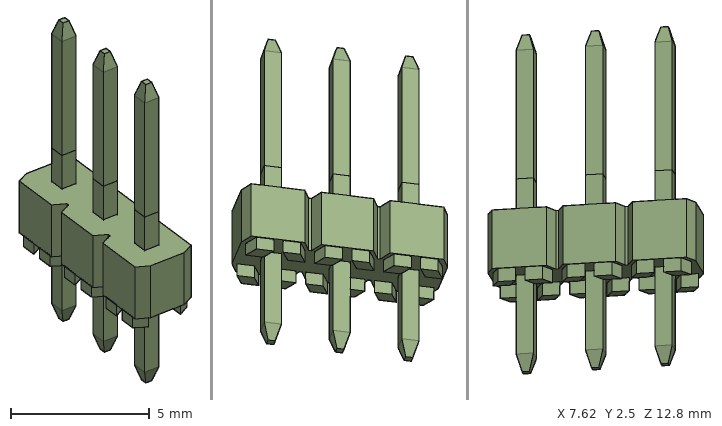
import cadquery as cq

pin_count = 3
housing_length = 7.62
pitch = housing_length / pin_count

housing_width = 2.5
housing_bottom = 3.61
housing_height = 2.22
bevel_x = 0.25
bevel_y = 0.5
notch_floor = 0.1

foot_height = 0.5
foot_row_length = 2.19
foot_gap = 0.35
foot_side_inset = 0.04
foot_depth = 0.5
foot_slant = 0.28

pin_size = 0.64
pin_length = 12.75
tip_size = 0.27
tip_height = 0.62
tail_length = 7.25
post_length = pin_length - tail_length

cell_centres = [(i - (pin_count - 1) / 2) * pitch for i in range(pin_count)]


def square_bar(x, z, height):
    """Square bar as thick as a pin, on the pin axis at x, rising from z."""
    return cq.Workplane("XY", origin=(x, 0, z)).rect(pin_size, pin_size).extrude(height)


def tip(x, z, height):
    """Tapered pin end, narrowing from the shaft at z over a signed height."""
    return (
        cq.Workplane("XY", origin=(x, 0, z))
        .rect(pin_size, pin_size)
        .workplane(offset=height)
        .rect(tip_size, tip_size)
        .loft(ruled=True)
    )


def make_tail(x):
    """Lower part of a pin, running through the housing."""
    shaft = square_bar(x, tip_height, tail_length - tip_height)
    return shaft.union(tip(x, tip_height, -tip_height))


def make_post(x):
    """Upper part of a pin, standing on the tail."""
    shaft = square_bar(x, tail_length, post_length - tip_height)
    return shaft.union(tip(x, pin_length - tip_height, tip_height))


def make_notch(x, side):
    """V-shaped cutter with a flat root, between two cells on one side (+1 or -1 in Y)."""
    edge = side * housing_width / 2
    root = edge - side * bevel_y
    half_root = notch_floor / 2
    half_mouth = half_root + bevel_x
    outline = [
        (x - half_mouth, edge),
        (x - half_root, root),
        (x + half_root, root),
        (x + half_mouth, edge),
    ]
    return (
        cq.Workplane("XY", origin=(0, 0, housing_bottom))
        .polyline(outline)
        .close()
        .extrude(housing_height)
    )


def make_foot(x, end, side):
    """Foot with both ends slanted in parallel, at one end (X) and side (Y) of the cell at x."""
    inner_x = x + end * foot_gap / 2
    outer_x = x + end * foot_row_length / 2
    outer_y = side * (housing_width / 2 - foot_side_inset)
    inner_y = outer_y - side * foot_depth
    outline = [
        (inner_x + end * foot_slant, inner_y),
        (outer_x, inner_y),
        (outer_x - end * foot_slant, outer_y),
        (inner_x, outer_y),
    ]
    return (
        cq.Workplane("XY", origin=(0, 0, housing_bottom))
        .polyline(outline)
        .close()
        .extrude(-foot_height)
    )


def make_housing():
    """Notched bar with bevelled ends, feet below and a square hole for each pin."""
    half_length = housing_length / 2
    half_width = housing_width / 2
    outline = [
        (-half_length, -half_width + bevel_y),
        (-half_length + bevel_x, -half_width),
        (half_length - bevel_x, -half_width),
        (half_length, -half_width + bevel_y),
        (half_length, half_width - bevel_y),
        (half_length - bevel_x, half_width),
        (-half_length + bevel_x, half_width),
        (-half_length, half_width - bevel_y),
    ]
    body = (
        cq.Workplane("XY", origin=(0, 0, housing_bottom))
        .polyline(outline)
        .close()
        .extrude(housing_height)
    )
    for x in cell_centres[:-1]:
        for side in (-1, 1):
            body = body.cut(make_notch(x + pitch / 2, side))
    for x in cell_centres:
        for side in (-1, 1):
            for end in (-1, 1):
                body = body.union(make_foot(x, end, side))
        body = body.cut(square_bar(x, housing_bottom, housing_height))
    return body


housing = make_housing()
tails = [make_tail(x) for x in cell_centres]
posts = [make_post(x) for x in cell_centres]

result = cq.Compound.makeCompound([body.val() for body in [housing, *tails, *posts]])